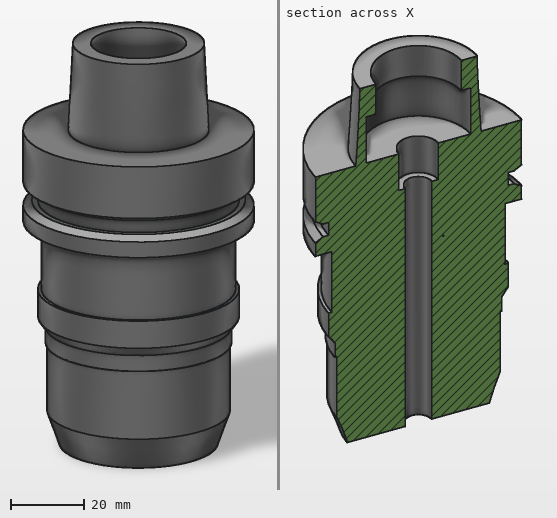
import cadquery as cq
import math

total_length = 115.0
flange_diameter = 63.0

shank_length = 25.0
shank_base_diameter = 38.4
shank_taper = 0.1

flange_width = 26.1
flange_upper_rim = 14.8
flange_lower_rim = 4.5
groove_diameter = 55.0
groove_bevel_height = 1.4
groove_bevel_angle = 30.0

neck_diameter = 53.0
collar_top = 44.3
collar_diameter = 55.0
collar_bevel_top = 36.5
collar_bevel_bottom = 33.7
shoulder_diameter = 51.0
barrel_top = 29.1
barrel_diameter = 50.0
nose_height = 9.4
nose_diameter = 43.4

mouth_diameter = 26.0
mouth_depth = 10.0
undercut_diameter = 31.7
cavity_depth = shank_length
seat_diameter = 12.0
seat_depth = seat_diameter
through_diameter = 8.0

flange_top = total_length - shank_length
flange_bottom = flange_top - flange_width
groove_top = flange_top - flange_upper_rim
groove_bottom = flange_bottom + flange_lower_rim
shank_tip_diameter = shank_base_diameter - shank_taper * shank_length
bevel_inset = groove_bevel_height / math.tan(math.radians(groove_bevel_angle))
bevel_diameter = flange_diameter - 2 * bevel_inset


def outer_body():
    """Turned outside shape, revolved about Z from the nose up to the shank tip."""
    stations = [
        (0, 0),
        (nose_diameter, 0),
        (barrel_diameter, nose_height),
        (barrel_diameter, barrel_top),
        (shoulder_diameter, barrel_top),
        (shoulder_diameter, collar_bevel_bottom),
        (collar_diameter, collar_bevel_top),
        (collar_diameter, collar_top),
        (neck_diameter, collar_top),
        (neck_diameter, flange_bottom),
        (flange_diameter, flange_bottom),
        (flange_diameter, groove_bottom),
        (bevel_diameter, groove_bottom + groove_bevel_height),
        (groove_diameter, groove_bottom + groove_bevel_height),
        (groove_diameter, groove_top - groove_bevel_height),
        (bevel_diameter, groove_top - groove_bevel_height),
        (flange_diameter, groove_top),
        (flange_diameter, flange_top),
        (shank_base_diameter, flange_top),
        (shank_tip_diameter, total_length),
        (0, total_length),
    ]
    profile = [(diameter / 2, level) for diameter, level in stations]
    return cq.Workplane("XZ").polyline(profile).close().revolve(360, (0, 0), (0, 1))


def bore_section(diameter, start_depth, end_depth):
    """Cylinder on the axis between two depths below the shank tip."""
    return (
        cq.Workplane("XY")
        .workplane(offset=total_length - end_depth)
        .circle(diameter / 2)
        .extrude(end_depth - start_depth)
    )


result = outer_body()
for diameter, start_depth, end_depth in [
    (mouth_diameter, 0, mouth_depth),
    (undercut_diameter, mouth_depth, cavity_depth),
    (seat_diameter, cavity_depth, cavity_depth + seat_depth),
    (through_diameter, cavity_depth + seat_depth, total_length),
]:
    result = result.cut(bore_section(diameter, start_depth, end_depth))